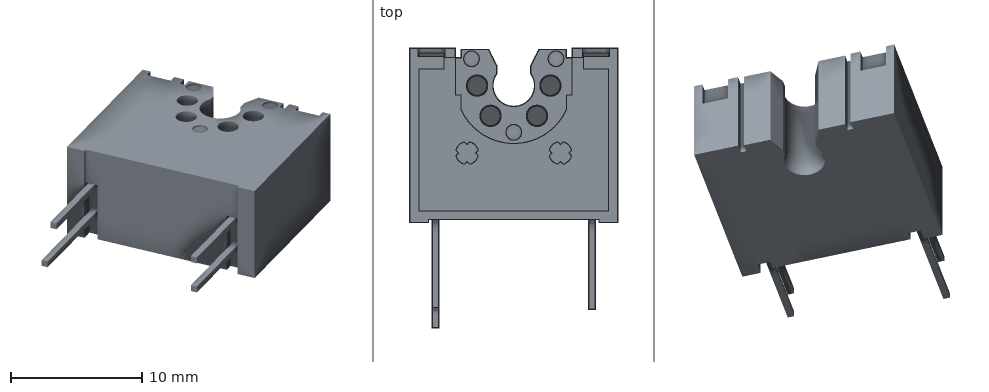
import cadquery as cq
import math


width = 15.87
depth = 13.3
height = 7.61
half_width = width / 2
wing_width = 1.45
wing_depth = 0.23
wall = 0.73
back_wall = 0.66
back_y = -(depth - wing_depth)
wall_inner_y = back_y + back_wall

lid_thickness = 0.73
lid_front_y = -1.6
tongue_half_width = 5.31

hub_half_width = 4.0
hub_front_y = -0.09
shoulder_half_width = 4.45
shoulder_back_y = -3.56
hub_center_y = -2.85
hub_radius = 4.42

keyhole_radius = 1.58
neck_half_width = 1.28
mouth_half_width = 1.92
mouth_depth = 1.28

hole_radius = 0.8
hole_floor_radius = 0.75
hole_depth = 5.33
hole_spots = [(2.8, hub_center_y), (1.77, -5.16)]

dimple_radius = 0.6
dimple_depth = 0.13
dimple_spots = [(-3.22, -0.8), (3.22, -0.8), (0, -6.42)]

post_x = 3.56
post_y = -8.0
post_arm_width = 0.92
post_radius = 0.87

latch_x = 6.27
latch_width = 2.03
latch_depth = 0.62
latch_height = 2.13
latch_slot_width = 1.9
latch_slot_depth = 0.23
latch_slot_height = 2.99

notch_width = 1.02
notch_height = 4.74
notch_x = half_width - wing_width - notch_width / 2

package_bottom = 0.95
package_height = notch_height - package_bottom
package_depth = package_height
lead_size = 0.51
lead_pitch = 2.54
upper_lead_z = notch_height - lead_size / 2
lower_lead_z = upper_lead_z - lead_pitch
lead_end_long = -21.33
lead_end_short = -19.92
lead_end_trimmed = -19.8

SIDES = (-1, 1)


def block(x_center, x_size, y_back, y_front, z_low, z_high):
    """Box centred on x_center, with its Y and Z limits given."""
    size = (x_size, y_front - y_back, z_high - z_low)
    return cq.Workplane().box(*size, centered=(True, False, False)).translate((x_center, y_back, z_low))


def hub_prism(z_low, z_high):
    """Outline of the hub, without its openings: shoulders at the front, an arc at the back."""
    side_drop = math.sqrt(hub_radius**2 - hub_half_width**2)
    arc_start_y = hub_center_y - side_drop
    return (
        cq.Workplane().workplane(offset=z_low)
        .moveTo(hub_half_width, hub_front_y)
        .lineTo(hub_half_width, -wall)
        .lineTo(shoulder_half_width, -wall)
        .lineTo(shoulder_half_width, shoulder_back_y)
        .lineTo(hub_half_width, shoulder_back_y)
        .lineTo(hub_half_width, arc_start_y)
        .threePointArc((0, hub_center_y - hub_radius), (-hub_half_width, arc_start_y))
        .lineTo(-hub_half_width, shoulder_back_y)
        .lineTo(-shoulder_half_width, shoulder_back_y)
        .lineTo(-shoulder_half_width, -wall)
        .lineTo(-hub_half_width, -wall)
        .lineTo(-hub_half_width, hub_front_y)
        .close()
        .extrude(z_high - z_low)
    )


def post(side):
    """Cross post turned by 45 degrees, with its arms rounded to a common circle."""
    arm = (2 * post_radius, post_arm_width, lid_thickness)
    bar = cq.Workplane().box(*arm, centered=(True, True, False)).rotate((0, 0, 0), (0, 0, 1), 45)
    cross = bar.union(bar.rotate((0, 0, 0), (0, 0, 1), 90))
    disc = cq.Workplane().circle(post_radius).extrude(lid_thickness)
    return cross.intersect(disc).translate((side * post_x, post_y, height - lid_thickness))


def make_lid():
    """Plate around the hub, pierced by the two posts."""
    z_low = height - lid_thickness
    plate = block(0, 2 * (half_width - wall), wall_inner_y, lid_front_y, z_low, height)
    plate = plate.union(block(0, 2 * tongue_half_width, lid_front_y, -wall, z_low, height))
    plate = plate.cut(hub_prism(z_low, height))
    for side in SIDES:
        plate = plate.cut(post(side))
    return plate


def keyhole():
    """Round opening with a narrow neck that flares to the front."""
    neck_start_y = hub_front_y - mouth_depth
    bore = cq.Workplane().center(0, hub_center_y).circle(keyhole_radius).extrude(height)
    neck = (
        cq.Workplane()
        .moveTo(-mouth_half_width, hub_front_y)
        .lineTo(-neck_half_width, neck_start_y)
        .lineTo(-neck_half_width, hub_center_y)
        .lineTo(neck_half_width, hub_center_y)
        .lineTo(neck_half_width, neck_start_y)
        .lineTo(mouth_half_width, hub_front_y)
        .close()
        .extrude(height)
    )
    return bore.union(neck)


def hub_hole(x, y):
    """Tapered blind hole, cut down from the top."""
    cone = cq.Solid.makeCone(
        hole_radius, hole_floor_radius, hole_depth, pnt=cq.Vector(x, y, height), dir=cq.Vector(0, 0, -1)
    )
    return cq.Workplane(cone)


def latch_pocket(side):
    """Step open to the front and the top, with a deeper slot along its back."""
    x = side * latch_x
    step = block(x, latch_width, -latch_depth, 0, height - latch_height, height)
    slot_front_y = latch_slot_depth - latch_depth
    slot = block(x, latch_slot_width, -latch_depth, slot_front_y, height - latch_slot_height, height)
    return step.union(slot)


def package(side):
    """Flat component body, flush with the floor of its notch."""
    front_y = wall_inner_y + package_depth
    return block(side * notch_x, notch_width, wall_inner_y, front_y, package_bottom, notch_height)


def make_lead_component(side, upper_end, lower_end):
    """Component body with two square leads that run out of the back."""
    component = package(side)
    for z, end_y in ((upper_lead_z, upper_end), (lower_lead_z, lower_end)):
        lead = block(side * notch_x, lead_size, end_y, wall_inner_y, z - lead_size / 2, z + lead_size / 2)
        component = component.union(lead)
    return component


def make_housing(lid):
    body = block(0, width, -depth, 0, 0, height)

    body = body.cut(block(0, width - 2 * wing_width, -depth, back_y, 0, height))

    body = body.cut(block(0, 2 * hub_half_width, hub_front_y, 0, 0, height))
    gap_width = shoulder_half_width - hub_half_width
    for side in SIDES:
        gap_x = side * (hub_half_width + gap_width / 2)
        body = body.cut(block(gap_x, gap_width, -wall, 0, 0, height))

    body = body.cut(keyhole())
    for side in SIDES:
        for x, y in hole_spots:
            body = body.cut(hub_hole(side * x, y))
    dimples = cq.Workplane().workplane(offset=height - dimple_depth).pushPoints(dimple_spots)
    body = body.cut(dimples.circle(dimple_radius).extrude(dimple_depth))

    for side in SIDES:
        body = body.cut(latch_pocket(side))
        body = body.cut(block(side * notch_x, notch_width, back_y, wall_inner_y, 0, notch_height))
        body = body.cut(package(side))

    return body.cut(lid)


lid = make_lid()
housing = make_housing(lid)
left_component = make_lead_component(-1, lead_end_trimmed, lead_end_long)
right_component = make_lead_component(1, lead_end_short, lead_end_short)

result = cq.Compound.makeCompound([
    housing.solids().val(),
    lid.solids().val(),
    left_component.solids().val(),
    right_component.solids().val(),
])